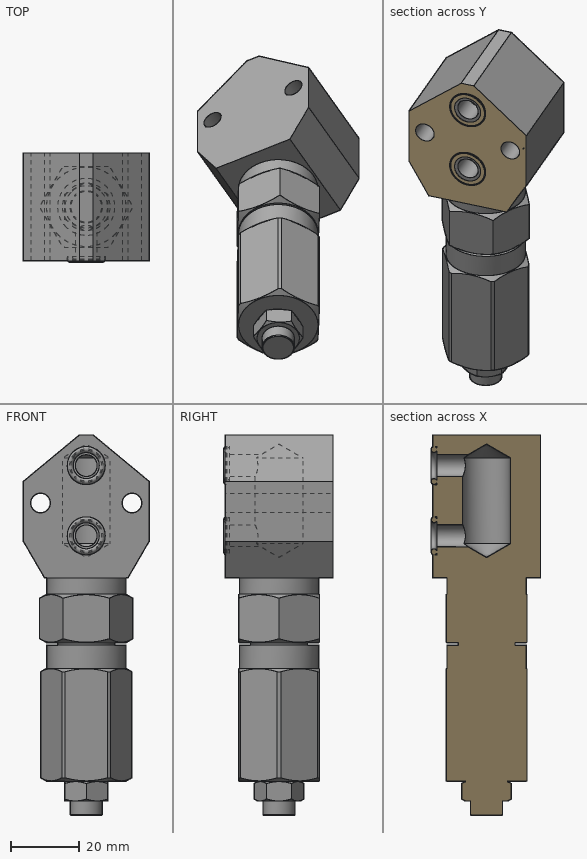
import cadquery as cq
import math

INCH = 25.4

BLOCK_WIDTH = 37.08
BLOCK_DEPTH = 1.25 * INCH
BLOCK_HEIGHT = 42.05
TOP_FLAT_WIDTH = 4.0
BOTTOM_FLAT_WIDTH = 24.6
LOWER_SHOULDER_Z = 10.75
UPPER_SHOULDER_Z = 28.35

MOUNT_HOLE_DIAMETER = 5.7
MOUNT_HOLE_SPACING = 26.9
MOUNT_HOLE_Z = 22.0

LOWER_PORT_Z = 12.35
PORT_SPACING = 20.65
PORT_DIAMETER = 6.4
ORING_INNER_DIAMETER = 7.65
ORING_SECTION = 1.78
ORING_STANDOUT = 0.46
SEAT_SQUEEZE = 0.02

CHAMBER_DIAMETER = 14.0
CHAMBER_BOTTOM_Z = 10.05
CHAMBER_TOP_Z = 35.25
CHAMBER_CONE_ANGLE = 30.0

COLLAR_DIAMETER = 23.4
UPPER_COLLAR_LENGTH = 4.8
NUT_ACROSS_FLATS = 15 / 16 * INCH
NUT_LENGTH = 14.3
NECK_DIAMETER = 16.8
NECK_LENGTH = 0.7
LOWER_COLLAR_LENGTH = 6.8
BODY_LENGTH = 33.25
BODY_CORNER_DIAMETER = 26.9
LOCKNUT_ACROSS_FLATS = 0.5 * INCH
LOCKNUT_LENGTH = 5.85
STUD_DIAMETER = 3 / 8 * INCH
STUD_CHAMFER = 0.25
TOTAL_HEIGHT = 111.91

HEX_SIDES = 6
HEX_HALF_ANGLE = 180 / HEX_SIDES
HEX_CHAMFER_ANGLE = 30.0
HEX_FACE_RATIO = 0.98

NUT_TOP_Z = -UPPER_COLLAR_LENGTH
NECK_TOP_Z = NUT_TOP_Z - NUT_LENGTH
LOWER_COLLAR_TOP_Z = NECK_TOP_Z - NECK_LENGTH
BODY_TOP_Z = LOWER_COLLAR_TOP_Z - LOWER_COLLAR_LENGTH
LOCKNUT_TOP_Z = BODY_TOP_Z - BODY_LENGTH
STUD_TOP_Z = LOCKNUT_TOP_Z - LOCKNUT_LENGTH
STUD_LENGTH = TOTAL_HEIGHT - BLOCK_HEIGHT + STUD_TOP_Z

SEAT_DIAMETER = ORING_INNER_DIAMETER + 2 * ORING_SECTION - SEAT_SQUEEZE
SEAT_DEPTH = ORING_SECTION - ORING_STANDOUT - SEAT_SQUEEZE

FRONT_Y = -BLOCK_DEPTH / 2


def make_block():
    """Eight-sided block extruded along Y."""
    right_side = [
        (BOTTOM_FLAT_WIDTH / 2, 0),
        (BLOCK_WIDTH / 2, LOWER_SHOULDER_Z),
        (BLOCK_WIDTH / 2, UPPER_SHOULDER_Z),
        (TOP_FLAT_WIDTH / 2, BLOCK_HEIGHT),
    ]
    left_side = [(-x, z) for x, z in reversed(right_side)]
    return (
        cq.Workplane("XZ")
        .polyline(right_side + left_side)
        .close()
        .extrude(BLOCK_DEPTH / 2, both=True)
    )


def make_front_hole(x, z, diameter, depth):
    """Cylinder that runs from the front face into the block."""
    return (
        cq.Workplane("XZ", origin=(x, FRONT_Y, z))
        .circle(diameter / 2)
        .extrude(-depth)
    )


def make_oring(z):
    """Ring around a port that stands slightly out of the front face."""
    section_radius = ORING_SECTION / 2
    ring_radius = ORING_INNER_DIAMETER / 2 + section_radius
    centre_y = FRONT_Y - ORING_STANDOUT + section_radius
    ring = cq.Solid.makeTorus(
        ring_radius, section_radius, cq.Vector(0, centre_y, z), cq.Vector(0, 1, 0)
    )
    return cq.Workplane(ring)


def make_chamber():
    """Bore on the valve axis, closed by a cone at each end."""
    radius = CHAMBER_DIAMETER / 2
    cone_height = radius * math.tan(math.radians(CHAMBER_CONE_ANGLE))
    return (
        cq.Workplane("XZ")
        .moveTo(0, CHAMBER_BOTTOM_Z - cone_height)
        .lineTo(radius, CHAMBER_BOTTOM_Z)
        .lineTo(radius, CHAMBER_TOP_Z)
        .lineTo(0, CHAMBER_TOP_Z + cone_height)
        .close()
        .revolve(360, (0, 0), (0, 1))
    )


def make_cylinder(top_z, diameter, length):
    """Cylinder on the valve axis that hangs down from top_z."""
    return cq.Workplane(origin=(0, 0, top_z)).circle(diameter / 2).extrude(-length)


def make_hex(top_z, across_flats, length, turn=0.0, corner_diameter=None):
    """Hexagon with both ends chamfered conically and, if asked, corners turned down."""
    sharp_diameter = across_flats / math.cos(math.radians(HEX_HALF_ANGLE))
    turned_diameter = corner_diameter or sharp_diameter
    turned_radius = turned_diameter / 2
    face_radius = across_flats / 2 * HEX_FACE_RATIO
    chamfer_height = (turned_radius - face_radius) * math.tan(math.radians(HEX_CHAMFER_ANGLE))
    prism = (
        cq.Workplane(origin=(0, 0, top_z))
        .transformed(rotate=(0, 0, turn))
        .polygon(HEX_SIDES, sharp_diameter)
        .extrude(-length)
    )
    envelope = (
        cq.Workplane("XZ")
        .moveTo(0, top_z)
        .lineTo(face_radius, top_z)
        .lineTo(turned_radius, top_z - chamfer_height)
        .lineTo(turned_radius, top_z - length + chamfer_height)
        .lineTo(face_radius, top_z - length)
        .lineTo(0, top_z - length)
        .close()
        .revolve(360, (0, 0), (0, 1))
    )
    return prism.intersect(envelope)


def make_cartridge():
    """Valve cartridge: collars, nut, neck, long hexagonal body, locknut and stud."""
    stud = make_cylinder(STUD_TOP_Z, STUD_DIAMETER, STUD_LENGTH)
    stud = stud.faces("<Z").chamfer(STUD_CHAMFER)
    return (
        make_cylinder(0, COLLAR_DIAMETER, UPPER_COLLAR_LENGTH)
        .union(make_hex(NUT_TOP_Z, NUT_ACROSS_FLATS, NUT_LENGTH))
        .union(make_cylinder(NECK_TOP_Z, NECK_DIAMETER, NECK_LENGTH))
        .union(make_cylinder(LOWER_COLLAR_TOP_Z, COLLAR_DIAMETER, LOWER_COLLAR_LENGTH))
        .union(
            make_hex(
                BODY_TOP_Z, NUT_ACROSS_FLATS, BODY_LENGTH, corner_diameter=BODY_CORNER_DIAMETER
            )
        )
        .union(make_hex(LOCKNUT_TOP_Z, LOCKNUT_ACROSS_FLATS, LOCKNUT_LENGTH, turn=HEX_HALF_ANGLE))
        .union(stud)
    )


block = make_block()

for side in (-1, 1):
    block = block.cut(
        make_front_hole(side * MOUNT_HOLE_SPACING / 2, MOUNT_HOLE_Z, MOUNT_HOLE_DIAMETER, BLOCK_DEPTH)
    )

block = block.cut(make_chamber())

for port_z in (LOWER_PORT_Z, LOWER_PORT_Z + PORT_SPACING):
    block = block.cut(make_front_hole(0, port_z, PORT_DIAMETER, BLOCK_DEPTH / 2))
    block = block.cut(make_front_hole(0, port_z, SEAT_DIAMETER, SEAT_DEPTH))
    block = block.union(make_oring(port_z))

result = block.union(make_cartridge())